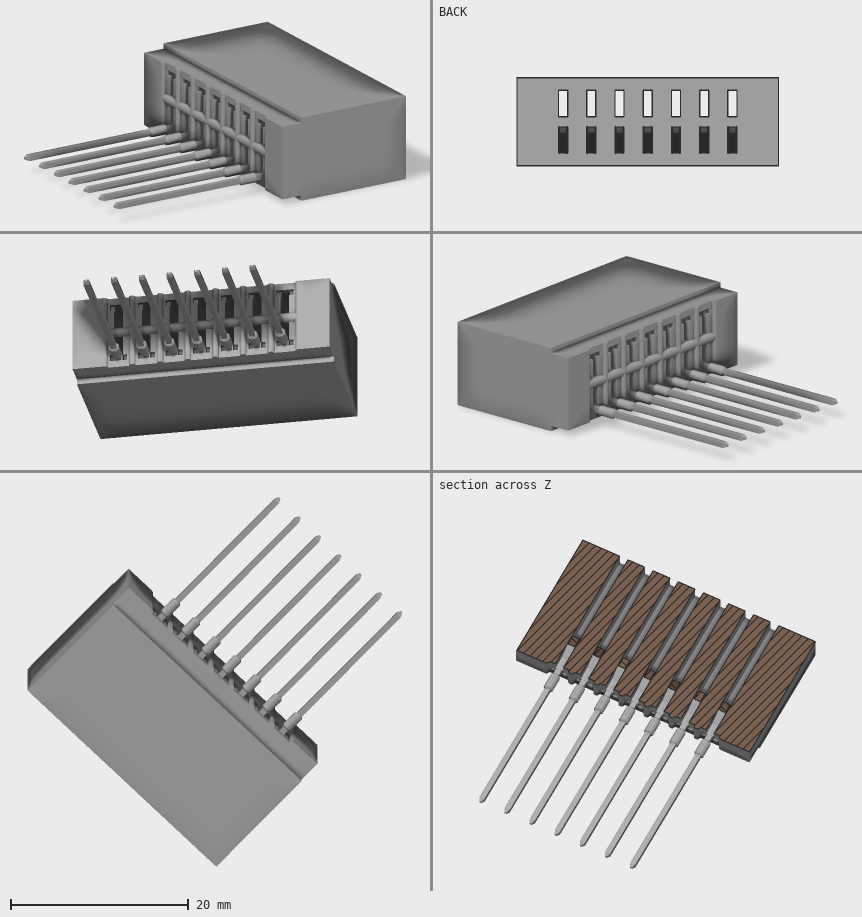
import cadquery as cq


pin_count = 7
pitch = 3.175
housing_length = 29.46
housing_height = 9.91
housing_depth = 16.37
nose_depth = 2.54
nose_step = 0.635
nose_height = housing_height - 2 * nose_step

recess_depth = 0.38
recess_length = pin_count * pitch
rib_half_width = recess_depth
bar_half_height = 0.575

row_offset = 3.175
window_width = 1.0
shoulder_width = 1.95
shoulder_height = 0.7
shoulder_depth = 0.5
window_outer = row_offset + shoulder_height / 2
window_height = window_outer - bar_half_height

tail_length = 19.05
tail_width = 0.635
tip_length = 0.45
tip_width = 0.25
collar_diameter = 0.7
sleeve_diameter = 1.15
sleeve_start = 0.3
sleeve_length = 2.2
sleeve_chamfer = 0.2
groove_width = 0.1
groove_depth = 0.08
collar_length = 0.25
blade_width = 0.85
blade_thickness = shoulder_height
blade_base_depth = 2.0
blade_reach = 6.0

pin_positions = [(i - (pin_count - 1) / 2) * pitch for i in range(pin_count)]
rib_positions = [(i - pin_count / 2) * pitch for i in range(pin_count + 1)]


def block(length, height, y_near, y_far, x=0, z=0):
    """Box centred on x and z, spanning y_near to y_far."""
    return cq.Workplane("XY").box(length, y_far - y_near, height).translate((x, (y_near + y_far) / 2, z))


def make_rib(x):
    """Vertical rib with a half-round crest level with the nose face."""
    rib = (
        cq.Workplane("XY")
        .center(x, recess_depth)
        .circle(rib_half_width)
        .extrude(nose_height / 2, both=True)
    )
    return rib.intersect(block(recess_length, nose_height, 0, recess_depth))


def make_bar():
    """Horizontal bar with an arched crest level with the nose face."""
    return (
        cq.Workplane("YZ")
        .moveTo(recess_depth, -bar_half_height)
        .threePointArc((0, 0), (recess_depth, bar_half_height))
        .close()
        .extrude(recess_length / 2, both=True)
    )


def make_housing():
    housing = block(housing_length, housing_height, nose_depth, housing_depth)
    housing = housing.union(block(housing_length, nose_height, 0, nose_depth))
    housing = housing.cut(block(recess_length, nose_height, 0, recess_depth))
    housing = housing.union(make_bar())
    for x in rib_positions:
        housing = housing.union(make_rib(x))
    shoulder_end = recess_depth + shoulder_depth
    window_center = bar_half_height + window_height / 2
    for x in pin_positions:
        for side in (1, -1):
            window_z = side * window_center
            window = block(window_width, window_height, recess_depth, housing_depth, x, window_z)
            shoulder_z = side * row_offset
            shoulder = block(shoulder_width, shoulder_height, recess_depth, shoulder_end, x, shoulder_z)
            housing = housing.cut(window).cut(shoulder)
    return housing


def rod(diameter, y_start, y_end):
    """Round rod on the contact axis running from y_start towards -Y."""
    return cq.Workplane("XZ", origin=(0, y_start, 0)).circle(diameter / 2).extrude(y_start - y_end)


def make_sleeve():
    """Round sleeve, chamfered at both ends, with a narrow groove along each quarter of its side."""
    sleeve_end = sleeve_start + sleeve_length
    sleeve = rod(sleeve_diameter, -sleeve_start, -sleeve_end).faces("<Y or >Y").chamfer(sleeve_chamfer)
    groove = block(groove_width, 2 * groove_depth, -sleeve_end, -sleeve_start, z=sleeve_diameter / 2)
    for quarter in range(4):
        sleeve = sleeve.cut(groove.rotate((0, 0, 0), (0, 1, 0), 90 * quarter))
    return sleeve


def make_contact():
    """Contact on the Y axis: sprung blade, neck, sleeve and square tail with a tapered tip."""
    sleeve_end = sleeve_start + sleeve_length
    blade_bottom = -blade_thickness / 2
    blade_top = blade_thickness / 2
    arm_rise = row_offset - bar_half_height
    blade = (
        cq.Workplane("YZ")
        .polyline([
            (recess_depth, blade_bottom),
            (blade_base_depth, blade_bottom),
            (blade_reach, arm_rise - blade_thickness),
            (blade_reach, arm_rise),
            (blade_base_depth, blade_top),
            (recess_depth, blade_top),
        ])
        .close()
        .extrude(blade_width / 2, both=True)
    )
    neck = block(tail_width, tail_width, -sleeve_start, recess_depth)
    collar = rod(collar_diameter, -sleeve_end, -sleeve_end - collar_length)
    tail = block(tail_width, tail_width, -tail_length + tip_length, -sleeve_end)
    tip = (
        cq.Workplane("XZ", origin=(0, -tail_length + tip_length, 0))
        .rect(tail_width, tail_width)
        .workplane(offset=tip_length)
        .rect(tip_width, tip_width)
        .loft(combine=True)
    )
    return blade.union(neck).union(make_sleeve()).union(collar).union(tail).union(tip)


housing = make_housing()
contact = make_contact()
contacts = [contact.translate((x, 0, -row_offset)).val() for x in pin_positions]
result = cq.Compound.makeCompound([housing.val(), *contacts])